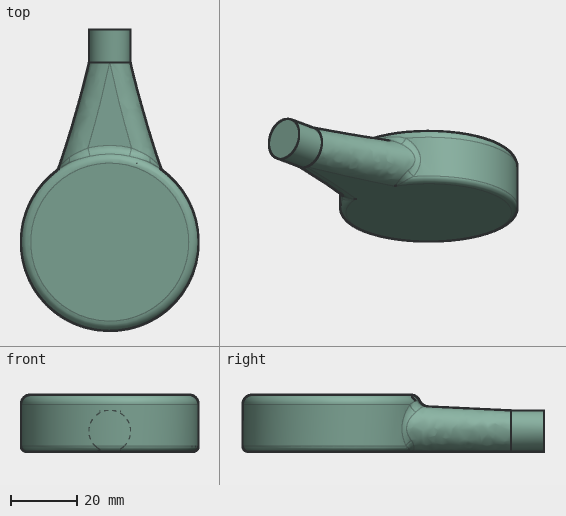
import cadquery as cq

head_radius = 26.8
head_height = 17.3
top_round = 3.0
bottom_round = 1.8

overall_length = 91.0
stem_radius = 6.3
stem_length = 10.0
stem_end_y = overall_length - head_radius
neck_start_y = stem_end_y - stem_length

neck_end_y = 18.2
neck_end_height = 14.3
neck_end_half_width = 16.9
neck_waist = 0.55
apex_half_width = 0.05
blend_radius = 3.0


def slot_section(y, half_flat, radius):
    """Slot outline in the plane at y, touching Z = 0, with semicircular ends."""
    height = 2 * radius
    return (
        cq.Workplane("XZ", origin=(0, y, 0))
        .moveTo(-half_flat, 0)
        .lineTo(half_flat, 0)
        .threePointArc((half_flat + radius, radius), (half_flat, height))
        .lineTo(-half_flat, height)
        .threePointArc((-half_flat - radius, radius), (-half_flat, 0))
        .close()
        .wire()
        .val()
    )


def make_head():
    disc = cq.Workplane("XY").circle(head_radius).extrude(head_height)
    return disc.faces(">Z").edges().fillet(top_round).faces("<Z").edges().fillet(bottom_round)


def make_neck():
    """Loft from the stem circle to the wide slot, with slightly hollow sides."""
    end_radius = neck_end_height / 2
    end_half_flat = neck_end_half_width - end_radius
    middle_y = (neck_start_y + neck_end_y) / 2
    middle_radius = (stem_radius + end_radius) / 2
    middle_half_flat = (apex_half_width + end_half_flat) / 2 - neck_waist
    sections = [
        slot_section(neck_start_y, apex_half_width, stem_radius),
        slot_section(middle_y, middle_half_flat, middle_radius),
        slot_section(neck_end_y, end_half_flat, end_radius),
    ]
    return cq.Workplane(cq.Solid.makeLoft(sections))


def make_stem():
    plane = cq.Workplane("XZ", origin=(0, stem_end_y, stem_radius))
    return plane.circle(stem_radius).extrude(stem_length)


def blend_neck(body):
    """Round the inside corner where the neck meets the top and wall of the head."""
    corner_zone = cq.selectors.BoxSelector(
        (-head_radius, neck_end_y, bottom_round),
        (head_radius, head_radius, head_height - top_round),
    )
    return body.edges(corner_zone).fillet(blend_radius)


head_with_neck = blend_neck(make_head().union(make_neck()))
result = head_with_neck.union(make_stem())